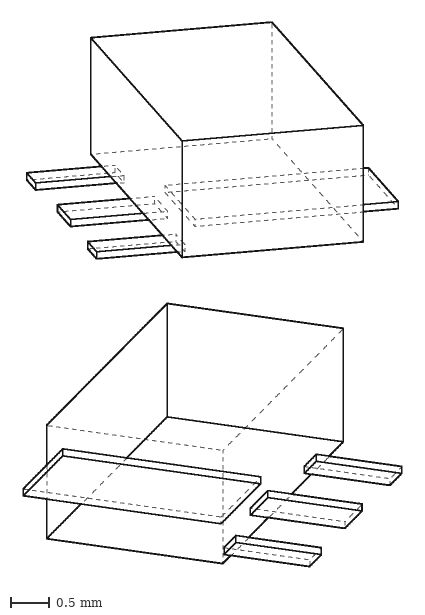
import cadquery as cq

HOUSING_WIDTH = 4.5
HOUSING_DEPTH = 2.455
HOUSING_HEIGHT = 1.6

METAL_THICKNESS = 0.1

TAB_WIDTH = 1.475
TAB_LENGTH = 2.76
TAB_OVERHANG = 0.89

SIDE_LEAD_WIDTH = 0.445
SIDE_LEAD_LENGTH = 1.192
SIDE_LEAD_OVERHANG = 1.012
LEAD_PITCH = 1.5
CENTRE_LEAD_WIDTH = 0.65
CENTRE_LEAD_LENGTH = 1.315
CENTRE_LEAD_OVERHANG = 0.98

HOUSING_BACK = HOUSING_DEPTH / 2
HOUSING_FRONT = -HOUSING_DEPTH / 2


def make_housing():
    """Plain block resting on top of the metal parts."""
    return (
        cq.Workplane("XY")
        .workplane(offset=METAL_THICKNESS)
        .rect(HOUSING_WIDTH, HOUSING_DEPTH)
        .extrude(HOUSING_HEIGHT)
    )


def make_strip(x_centre, y_front, width, length):
    """Flat metal strip with its underside at Z = 0, running back from y_front."""
    return (
        cq.Workplane("XY")
        .center(x_centre, y_front + length / 2)
        .rect(width, length)
        .extrude(METAL_THICKNESS)
    )


def make_tab():
    y_front = HOUSING_BACK + TAB_OVERHANG - TAB_LENGTH
    return make_strip(0, y_front, TAB_WIDTH, TAB_LENGTH)


def make_centre_lead():
    y_front = HOUSING_FRONT - CENTRE_LEAD_OVERHANG
    return make_strip(0, y_front, CENTRE_LEAD_WIDTH, CENTRE_LEAD_LENGTH)


def make_side_lead(x_centre):
    y_front = HOUSING_FRONT - SIDE_LEAD_OVERHANG
    return make_strip(x_centre, y_front, SIDE_LEAD_WIDTH, SIDE_LEAD_LENGTH)


housing = make_housing()
tab = make_tab()
centre_lead = make_centre_lead()
side_leads = [make_side_lead(side * LEAD_PITCH) for side in (-1, 1)]

result = cq.Compound.makeCompound(
    [housing.val(), tab.val(), centre_lead.val(), *(lead.val() for lead in side_leads)]
)